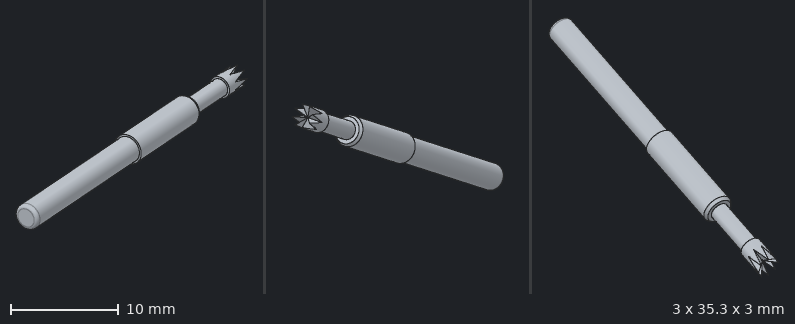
import cadquery as cq
import math

LENGTH = 35.3

TAIL_DIAMETER = 2.6
TAIL_ROUNDING = 0.4
COLLAR_DIAMETER = 3.0
COLLAR_LENGTH = 10.03
COLLAR_CHAMFER_LENGTH = 0.35
COLLAR_CHAMFER_WIDTH = 0.2
STEM_DIAMETER = 1.8
STEM_LENGTH = 5.3
HEAD_DIAMETER = 2.22
HEAD_LENGTH = 3.0

TOOTH_COUNT = 8
NOTCH_DEPTH = 1.87
CENTRE_DEPTH = 1.05
CROWN_OVERSIZE = 1.3

Y_TIP = LENGTH / 2
Y_TAIL = -LENGTH / 2
Y_HEAD = Y_TIP - HEAD_LENGTH
Y_COLLAR_FRONT = Y_HEAD - STEM_LENGTH
Y_COLLAR_BACK = Y_COLLAR_FRONT - COLLAR_LENGTH


def rod(diameter, y_start, y_end):
    """Cylinder on the Y axis from y_start up to y_end."""
    length = y_end - y_start
    return cq.Workplane("XZ", origin=(0, y_end, 0)).circle(diameter / 2).extrude(length)


def make_tail():
    tail = rod(TAIL_DIAMETER, Y_TAIL, Y_COLLAR_BACK)
    return tail.faces("<Y").edges().fillet(TAIL_ROUNDING)


def make_collar():
    radius = COLLAR_DIAMETER / 2
    profile = (
        cq.Workplane("XY")
        .moveTo(0, Y_COLLAR_BACK)
        .lineTo(radius, Y_COLLAR_BACK)
        .lineTo(radius, Y_COLLAR_FRONT - COLLAR_CHAMFER_LENGTH)
        .lineTo(radius - COLLAR_CHAMFER_WIDTH, Y_COLLAR_FRONT)
        .lineTo(0, Y_COLLAR_FRONT)
        .close()
    )
    return profile.revolve(360, (0, 0, 0), (0, 1, 0))


def polygon_face(points):
    return cq.Face.makeFromWires(cq.Wire.makePolygon(points, close=True))


def make_toothed_block():
    """Star-topped prism whose ridges and notches all run straight out from the crown centre."""
    centre = cq.Vector(0, Y_TIP - CENTRE_DEPTH, 0)
    corner_count = 2 * TOOTH_COUNT
    upper = []
    lower = []
    for i in range(corner_count):
        angle = 2 * math.pi * i / corner_count
        x = HEAD_DIAMETER / 2 * math.cos(angle)
        z = HEAD_DIAMETER / 2 * math.sin(angle)
        y = Y_TIP if i % 2 == 0 else Y_TIP - NOTCH_DEPTH
        corner = centre + (cq.Vector(x, y, z) - centre) * CROWN_OVERSIZE
        upper.append(corner)
        lower.append(cq.Vector(corner.x, Y_HEAD, corner.z))

    faces = [polygon_face(lower)]
    for i in range(corner_count):
        following = (i + 1) % corner_count
        faces.append(polygon_face([centre, upper[i], upper[following]]))
        faces.append(polygon_face([lower[i], lower[following], upper[following], upper[i]]))
    return cq.Workplane(cq.Solid.makeSolid(cq.Shell.makeShell(faces)))


def make_head():
    return rod(HEAD_DIAMETER, Y_HEAD, Y_TIP).intersect(make_toothed_block())


stem = rod(STEM_DIAMETER, Y_COLLAR_FRONT, Y_HEAD)
result = make_tail().union(make_collar()).union(stem).union(make_head())